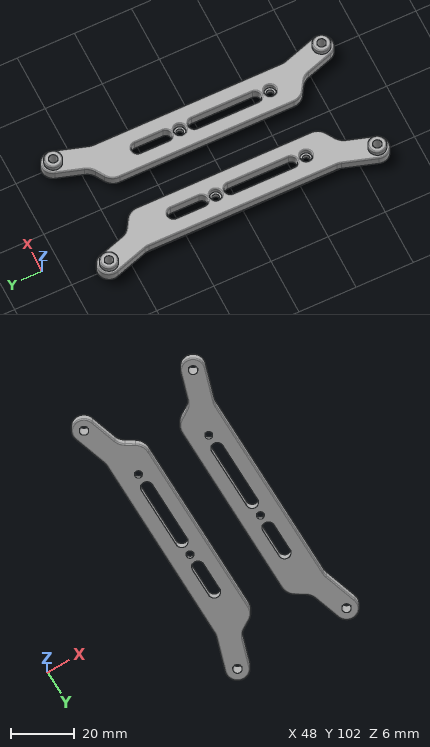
import cadquery as cq
import math

overall_width = 48.0
overall_length = 102.0

plate_thickness = 4.0
rail_outer_x = 20.0
rail_inner_x = 6.0
outer_corner_y = 33.7
inner_corner_y = 33.2
shoulder_angle = 32.0
corner_radius = 5.0

edge_round = 0.4

tip_radius = overall_width / 2 - rail_outer_x
boss_x = rail_outer_x
boss_y = overall_length / 2 - tip_radius
boss_points = [(boss_x, boss_y), (boss_x, -boss_y)]
boss_diameter = 6.0
boss_height = 2.0
boss_hole_diameter = 3.0

row_spacing = 25.8
row_x = row_spacing / 2
slot_width = 4.0
slot_end_ys = [(11.0, 20.9), (-20.3, 1.0)]
screw_hole_ys = [6.1, -25.5]
screw_hole_diameter = 2.4
counterbore_diameter = 4.0
counterbore_depth = 2.0

arm_angle = math.asin(tip_radius / (boss_y - outer_corner_y))


def end_outline():
    """Corners of the +Y end, from the outer edge round the arm to the inner edge."""
    across_x = tip_radius * math.cos(arm_angle)
    across_y = tip_radius * math.sin(arm_angle)
    arm_outer = (boss_x + across_x, boss_y - across_y)
    arm_inner = (boss_x - across_x, boss_y + across_y)
    shoulder_slope = math.tan(math.radians(shoulder_angle))
    arm_slope = 1 / math.tan(arm_angle)
    shoulder_x = (
        arm_inner[1] - inner_corner_y - arm_slope * arm_inner[0] + shoulder_slope * rail_inner_x
    ) / (shoulder_slope - arm_slope)
    shoulder_y = inner_corner_y + shoulder_slope * (shoulder_x - rail_inner_x)
    return [
        (rail_outer_x, outer_corner_y),
        arm_outer,
        arm_inner,
        (shoulder_x, shoulder_y),
        (rail_inner_x, inner_corner_y),
    ]


def plate():
    """Plate with rounded corners and round arm tips."""
    upper_end = end_outline()
    lower_end = [(x, -y) for x, y in reversed(upper_end)]
    body = cq.Workplane("XY").polyline(upper_end + lower_end).close().extrude(plate_thickness)
    square_ends = upper_end[1:3] + lower_end[2:4]
    for x, y in upper_end + lower_end:
        if (x, y) not in square_ends:
            corner = cq.selectors.NearestToPointSelector((x, y, plate_thickness / 2))
            body = body.edges("|Z").edges(corner).fillet(corner_radius)
    tips = (
        cq.Workplane("XY")
        .pushPoints(boss_points)
        .circle(tip_radius)
        .extrude(plate_thickness)
    )
    return body.union(tips)


def bosses():
    """Round bosses on both arm tips, with rounded top rims."""
    return (
        cq.Workplane("XY", origin=(0, 0, plate_thickness))
        .pushPoints(boss_points)
        .circle(boss_diameter / 2)
        .extrude(boss_height)
        .faces(">Z")
        .fillet(edge_round)
    )


def boss_hole_cutters():
    """Plain holes through both bosses and the plate."""
    return (
        cq.Workplane("XY")
        .pushPoints(boss_points)
        .circle(boss_hole_diameter / 2)
        .extrude(plate_thickness + boss_height)
    )


def slot_cutter(low_y, high_y):
    """Through slot, given the centres of its two round ends."""
    return (
        cq.Workplane("XY", origin=(row_x, (low_y + high_y) / 2, 0))
        .slot2D(high_y - low_y + slot_width, slot_width, 90)
        .extrude(plate_thickness)
    )


def screw_hole_cutter(y):
    """Through hole with a wider counterbore from the top."""
    hole = (
        cq.Workplane("XY", origin=(row_x, y, 0))
        .circle(screw_hole_diameter / 2)
        .extrude(plate_thickness)
    )
    counterbore = (
        cq.Workplane("XY", origin=(row_x, y, plate_thickness))
        .circle(counterbore_diameter / 2)
        .extrude(-counterbore_depth)
    )
    return hole.union(counterbore)


def make_right_rail():
    """Complete rail on the +X side."""
    body = plate().faces("<Z").edges().fillet(edge_round)
    for low_y, high_y in slot_end_ys:
        body = body.cut(slot_cutter(low_y, high_y))
    for y in screw_hole_ys:
        body = body.cut(screw_hole_cutter(y))
    body = body.faces(">Z").edges().fillet(edge_round)
    return body.union(bosses()).cut(boss_hole_cutters())


right_rail = make_right_rail()
left_rail = right_rail.mirror("YZ")

result = cq.Compound.makeCompound([right_rail.val(), left_rail.val()])